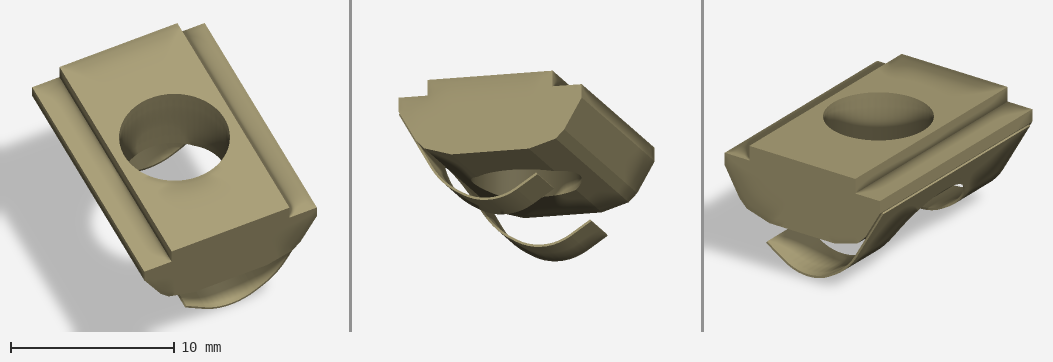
import cadquery as cq
import math

length = 16.0
half_width = 5.85
rail_half_width = 4.0
ledge_depth = 1.0
side_depth = 1.84
flank_depth = 3.78
chamfer_depth = 4.32
body_height = 4.83
flank_angle = 60.0
bottom_half_width = 2.48
hole_diameter = 6.8

strip_length = 15.42
strip_thickness = 0.15
strip_start_y = 5.85
strip_start_z = -1.94
upper_straight = 4.05
upper_bend_radius = 4.48
upper_bend_angle = 30.0
middle_straight = 0.43
lower_bend_radius = 3.26
lower_bend_angle = 63.0
end_straight = 1.57

slot_radius = 4.08
slot_center_along_strip = 5.97
slot_reach = 9.6


def make_body():
    flank_drop = flank_depth - side_depth
    flank_half_width = half_width - flank_drop / math.tan(math.radians(flank_angle))
    chamfer_half_width = flank_half_width - (chamfer_depth - flank_depth)
    right_side = [
        (rail_half_width, 0),
        (rail_half_width, -ledge_depth),
        (half_width, -ledge_depth),
        (half_width, -side_depth),
        (flank_half_width, -flank_depth),
        (chamfer_half_width, -chamfer_depth),
        (bottom_half_width, -body_height),
    ]
    left_side = [(-y, z) for y, z in reversed(right_side)]
    profile = cq.Workplane("YZ").polyline(right_side + left_side).close()
    return profile.extrude(length / 2, both=True)


def direction(angle):
    return math.cos(math.radians(angle)), math.sin(math.radians(angle))


def moved(point, angle, distance):
    dy, dz = direction(angle)
    return point[0] + distance * dy, point[1] + distance * dz


def strip_stations():
    """Center points and headings at the stretch ends and bend middles, in order."""
    heading = 180.0 + flank_angle
    point = (strip_start_y, strip_start_z)
    stations = [(point, heading)]
    bends = [
        (upper_straight, upper_bend_radius, upper_bend_angle),
        (middle_straight, lower_bend_radius, lower_bend_angle),
    ]
    for straight, radius, angle in bends:
        point = moved(point, heading, straight)
        stations.append((point, heading))
        bend_center = moved(point, heading - 90, radius)
        for turn in (angle / 2, angle):
            station = moved(bend_center, heading + 90 - turn, radius)
            stations.append((station, heading - turn))
        heading -= angle
        point = stations[-1][0]
    stations.append((moved(point, heading, end_straight), heading))
    return stations


def trace_face(profile, points):
    """Draw one face of the strip, from its first point to its last."""
    _, bend_1, middle_1, end_1, bend_2, middle_2, end_2, finish = points
    profile = profile.lineTo(*bend_1).threePointArc(middle_1, end_1)
    profile = profile.lineTo(*bend_2).threePointArc(middle_2, end_2)
    return profile.lineTo(*finish)


def make_strip():
    stations = strip_stations()
    half_thickness = strip_thickness / 2
    outer = [moved(point, heading + 90, half_thickness) for point, heading in stations]
    inner = [moved(point, heading - 90, half_thickness) for point, heading in stations]
    profile = cq.Workplane("YZ")
    profile = trace_face(profile.moveTo(*outer[0]), outer)
    profile = trace_face(profile.lineTo(*inner[-1]), inner[::-1])
    return profile.close().extrude(strip_length / 2, both=True)


def make_slot():
    heading = 180.0 + flank_angle
    center_y, center_z = moved((strip_start_y, strip_start_z), heading, slot_center_along_strip)
    normal_y, normal_z = direction(heading - 90)
    plane = cq.Plane(origin=(0, center_y, center_z), xDir=(1, 0, 0), normal=(0, normal_y, normal_z))
    outline = (
        cq.Workplane(plane)
        .moveTo(-slot_radius, -slot_reach)
        .lineTo(-slot_radius, 0)
        .threePointArc((0, slot_radius), (slot_radius, 0))
        .lineTo(slot_radius, -slot_reach)
        .close()
    )
    return outline.extrude(slot_reach, both=True)


def make_hole():
    return cq.Workplane("XY").circle(hole_diameter / 2).extrude(-body_height)


spring = make_strip().cut(make_slot())
result = make_body().union(spring).cut(make_hole())